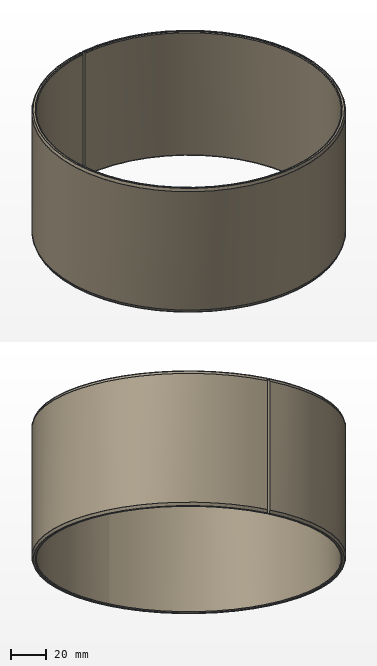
import cadquery as cq

outer_diameter = 175.0
wall = 2.5
height = 80.0
rim_chamfer_height = 1.8
rim_chamfer_depth = 0.7
bore_chamfer = 0.5
slit_width = 1.4

outer_radius = outer_diameter / 2
inner_radius = outer_radius - wall
half_height = height / 2


def chamfered_sleeve():
    """Revolve the wall section, with both rims chamfered outside and in the bore."""
    shoulder = half_height - rim_chamfer_height
    bore_edge = half_height - bore_chamfer
    rim_radius = outer_radius - rim_chamfer_depth
    section = (
        cq.Workplane("XZ")
        .moveTo(inner_radius + bore_chamfer, -half_height)
        .lineTo(rim_radius, -half_height)
        .lineTo(outer_radius, -shoulder)
        .lineTo(outer_radius, shoulder)
        .lineTo(rim_radius, half_height)
        .lineTo(inner_radius + bore_chamfer, half_height)
        .lineTo(inner_radius, bore_edge)
        .lineTo(inner_radius, -bore_edge)
        .close()
    )
    return section.revolve(360, (0, 0, 0), (0, 1, 0))


def slit():
    """Cutter through the wall on the -X side, with one face on the XZ plane."""
    cutter_depth = 4 * wall
    return (
        cq.Workplane("XY")
        .box(cutter_depth, slit_width, 2 * height)
        .translate((-outer_radius, slit_width / 2, 0))
    )


result = chamfered_sleeve().cut(slit())